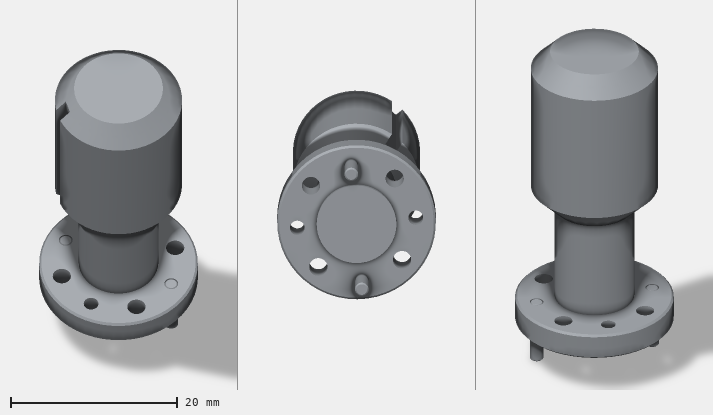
import cadquery as cq
import math

overall_height = 41.95
boss_bottom = 3.85
flange_bottom = 4.65
flange_top = 7.95

flange_radius = 9.53
flange_chamfer = 0.25
neck_radius = 4.8
head_radius = 7.65
head_top_chamfer = 2.3
head_bottom = 20.4
head_lower_taper = head_radius - neck_radius

groove_width = 1.65
groove_floor_radius = 6.4

pitch_radius = 7.15
bolt_hole_diameter = 2.2
dowel_hole_diameter = 1.75
pin_diameter = 1.65
pin_chamfer = 0.15
bolt_angles = [0, 90, 180, 270]
dowel_hole_angles = [135, 315]
pin_angles = [45, 225]


def pitch_points(angles):
    """Points on the pitch circle at the given angles in degrees."""
    return [
        (pitch_radius * math.cos(math.radians(angle)), pitch_radius * math.sin(math.radians(angle)))
        for angle in angles
    ]


def make_turned_blank():
    """Flange, neck and double-tapered head as one revolved profile."""
    profile = (
        cq.Workplane("XZ")
        .moveTo(0, boss_bottom)
        .lineTo(neck_radius, boss_bottom)
        .lineTo(neck_radius, flange_bottom)
        .lineTo(flange_radius - flange_chamfer, flange_bottom)
        .lineTo(flange_radius, flange_bottom + flange_chamfer)
        .lineTo(flange_radius, flange_top - flange_chamfer)
        .lineTo(flange_radius - flange_chamfer, flange_top)
        .lineTo(neck_radius, flange_top)
        .lineTo(neck_radius, head_bottom)
        .lineTo(head_radius, head_bottom + head_lower_taper)
        .lineTo(head_radius, overall_height - head_top_chamfer)
        .lineTo(head_radius - head_top_chamfer, overall_height)
        .lineTo(0, overall_height)
        .close()
    )
    return profile.revolve(360, (0, 0, 0), (0, 1, 0))


def make_flange_holes(angles, diameter):
    """Cutters through the full thickness of the flange."""
    return (
        cq.Workplane("XY", origin=(0, 0, flange_bottom))
        .pushPoints(pitch_points(angles))
        .circle(diameter / 2)
        .extrude(flange_top - flange_bottom)
    )


def make_groove():
    """Straight flat-floored cutter running the height of the head."""
    return cq.Workplane("XY", origin=(0, -head_radius, head_bottom)).box(
        groove_width,
        head_radius - groove_floor_radius,
        overall_height - head_bottom,
        centered=(True, False, False),
    )


def make_body():
    """Flanged body with its groove, open holes and close-fitting pin holes."""
    body = make_turned_blank().cut(make_groove())
    body = body.cut(make_flange_holes(bolt_angles, bolt_hole_diameter))
    body = body.cut(make_flange_holes(dowel_hole_angles, dowel_hole_diameter))
    return body.cut(make_flange_holes(pin_angles, pin_diameter))


def make_pin(x, y):
    """Dowel pin, chamfered at both ends and flush with the flange top."""
    pin = cq.Workplane("XY").circle(pin_diameter / 2).extrude(flange_top)
    return pin.edges("%CIRCLE").chamfer(pin_chamfer).translate((x, y, 0))


body = make_body()
pins = []
for pin_x, pin_y in pitch_points(pin_angles):
    pins.append(make_pin(pin_x, pin_y).val())

result = cq.Compound.makeCompound([body.val(), *pins])